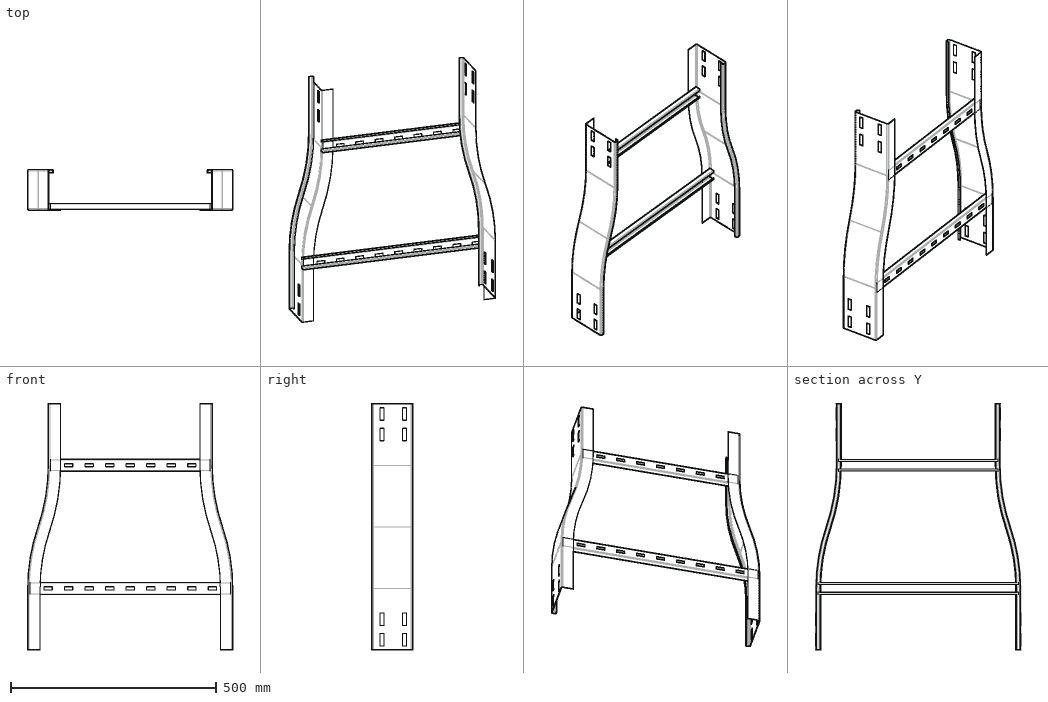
import cadquery as cq
import math

HEIGHT = 600.0
BOTTOM_WIDTH = HEIGHT * 5 / 6
TOP_WIDTH = HEIGHT * 2 / 3
DEPTH = HEIGHT / 6
FRONT = -DEPTH / 2
BACK = DEPTH / 2

RAIL_SHEET = 2.0
RAIL_BEND_RADIUS = 2 * RAIL_SHEET
FRONT_FLANGE = 30.5
BACK_FLANGE = 12.5
RAIL_LIP = 8.5

BEND_BOTTOM = HEIGHT / 4
BEND_MIDDLE = HEIGHT / 2
BEND_TOP = HEIGHT - BEND_BOTTOM
BOTTOM_X = -BOTTOM_WIDTH / 2
TOP_X = -TOP_WIDTH / 2
MIDDLE_X = (BOTTOM_X + TOP_X) / 2

SLOT_PITCH = HEIGHT / 12
RAIL_SLOT_LENGTH = 30.0
RAIL_SLOT_WIDTH = 9.0
RAIL_SLOT_YS = [-25.0, 30.0]
RAIL_SLOTS_PER_END = 2
RAIL_SLOT_END_DISTANCE = SLOT_PITCH / 2
RUNG_SLOT_LENGTH = 20.0
RUNG_SLOT_HEIGHT = 7.0

RUNG_SHEET = 1.5
RUNG_HEIGHT = 30.0
RUNG_DEPTH = 15.0
RUNG_BEND_RADIUS = 2.0
RUNG_LIP = 6.0
RUNG_END_GAP = 5.5
RUNGS = [
    (BEND_TOP, TOP_X, 7),
    (BEND_BOTTOM, BOTTOM_X, 9),
]


def unit_step(start, end):
    """Unit direction from one point to another."""
    length = math.dist(start, end)
    return ((end[0] - start[0]) / length, (end[1] - start[1]) / length)


def offset_point(point, direction, distance):
    """Point moved along a unit direction."""
    return (point[0] + direction[0] * distance, point[1] + direction[1] * distance)


def folded_sheet(plane, corners, sheet, bend_radius):
    """Closed section of a sheet folded clockwise at the square corners of its outer outline."""
    steps = [unit_step(a, b) for a, b in zip(corners, corners[1:])]
    bends = list(zip(corners[1:-1], steps, steps[1:]))
    inner_radius = bend_radius - sheet

    section = cq.Workplane(plane).moveTo(*corners[0])
    for corner, step_in, step_out in bends:
        arc_start = offset_point(corner, step_in, -bend_radius)
        arc_end = offset_point(corner, step_out, bend_radius)
        center = offset_point(arc_start, step_out, bend_radius)
        outward = unit_step(center, corner)
        section = section.lineTo(*arc_start).threePointArc(offset_point(center, outward, bend_radius), arc_end)

    last_inward = (steps[-1][1], -steps[-1][0])
    first_inward = (steps[0][1], -steps[0][0])
    section = section.lineTo(*corners[-1]).lineTo(*offset_point(corners[-1], last_inward, sheet))
    for corner, step_in, step_out in reversed(bends):
        center = offset_point(offset_point(corner, step_in, -bend_radius), step_out, bend_radius)
        outward = unit_step(center, corner)
        arc_start = offset_point(center, step_in, inner_radius)
        arc_end = offset_point(center, step_out, -inner_radius)
        section = section.lineTo(*arc_start).threePointArc(offset_point(center, outward, inner_radius), arc_end)
    return section.lineTo(*offset_point(corners[0], first_inward, sheet)).close()


def rail_path():
    """Run of the left rail's outer face from bottom to top."""
    return (
        cq.Workplane("XZ")
        .moveTo(BOTTOM_X, 0)
        .lineTo(BOTTOM_X, BEND_BOTTOM)
        .tangentArcPoint((MIDDLE_X, BEND_MIDDLE), relative=False)
        .tangentArcPoint((TOP_X, BEND_TOP), relative=False)
        .lineTo(TOP_X, HEIGHT)
    )


def rail_slot(outer_x, y, z):
    """Cutter for one slot through a straight web whose outer face lies at outer_x."""
    cutter = cq.Workplane("XY").box(RAIL_SHEET, RAIL_SLOT_WIDTH, RAIL_SLOT_LENGTH)
    return cutter.translate((outer_x + RAIL_SHEET / 2, y, z))


def left_rail():
    """C-section rail with its open side toward +X, slotted near both ends."""
    lip_x = BOTTOM_X + BACK_FLANGE
    corners = [
        (BOTTOM_X + FRONT_FLANGE, FRONT),
        (BOTTOM_X, FRONT),
        (BOTTOM_X, BACK),
        (lip_x, BACK),
        (lip_x, BACK - RAIL_LIP),
    ]
    rail = folded_sheet("XY", corners, RAIL_SHEET, RAIL_BEND_RADIUS).sweep(rail_path())
    for index in range(RAIL_SLOTS_PER_END):
        end_distance = RAIL_SLOT_END_DISTANCE + index * SLOT_PITCH
        for y in RAIL_SLOT_YS:
            rail = rail.cut(rail_slot(BOTTOM_X, y, end_distance))
            rail = rail.cut(rail_slot(TOP_X, y, HEIGHT - end_distance))
    return rail


def rung(z, rail_x, slot_count):
    """Channel centered at height z between rails whose left outer face is at rail_x."""
    left_end = rail_x + RUNG_END_GAP
    front = FRONT + RAIL_SHEET
    back = front + RUNG_DEPTH
    bottom = z - RUNG_HEIGHT / 2
    top = z + RUNG_HEIGHT / 2
    corners = [
        (back, bottom + RUNG_LIP),
        (back, bottom),
        (front, bottom),
        (front, top),
        (back, top),
        (back, top - RUNG_LIP),
    ]
    length = -2 * left_end
    section = folded_sheet("YZ", corners, RUNG_SHEET, RUNG_BEND_RADIUS)
    channel = section.extrude(length).translate((left_end, 0, 0))
    slots = (
        cq.Workplane("XZ", origin=(0, front, z))
        .rarray(SLOT_PITCH, 6, slot_count, 1)
        .rect(RUNG_SLOT_LENGTH, RUNG_SLOT_HEIGHT)
        .extrude(-RUNG_SHEET)
    )
    return channel.cut(slots)


rail_left = left_rail()
rail_right = rail_left.mirror("YZ")
rungs = [rung(z, rail_x, slot_count) for z, rail_x, slot_count in RUNGS]
result = cq.Compound.makeCompound([rail_left.val(), rail_right.val(), *[body.val() for body in rungs]])